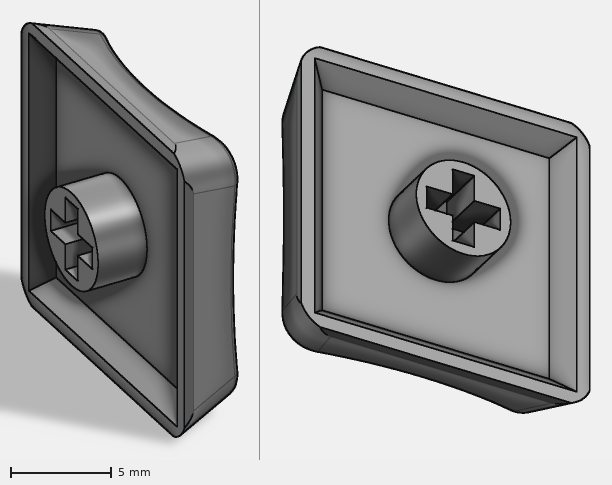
import cadquery as cq
import math

cap_width = 16.5
blank_height = 4.7
skirt_height = 0.5
wall_taper = 15.5
corner_radius = 2.0
top_edge_radius = 0.5

dish_bottom = 1.95
dish_radius_x = 17.5
dish_radius_z = 50.0
dish_overhang = 1.0

pocket_open_width = 15.0
pocket_floor_width = 13.0
pocket_depth = 1.0

stem_diameter = 5.4
stem_length = 1.8
cross_span = 4.2
cross_slot_width = 1.25
cross_depth = stem_length + pocket_depth


def plane_at(y):
    """Workplane normal to +Y at height y."""
    return cq.Workplane("XZ", origin=(0, y, 0)).transformed(rotate=(180, 0, 0))


def tapered_body():
    """Square frustum with rounded corners, its foot trimmed to a straight skirt."""
    foot_width = cap_width + 2 * skirt_height * math.tan(math.radians(wall_taper))
    frustum = plane_at(0).rect(foot_width, foot_width).extrude(blank_height, taper=wall_taper)
    frustum = frustum.edges("not(#Y or |X or |Z)").fillet(corner_radius)
    skirt_limit = plane_at(0).rect(cap_width, cap_width).extrude(blank_height)
    return frustum.intersect(skirt_limit)


def dish_cutter():
    """Arc in the XY plane swung about an axis parallel to X above the cap."""
    half_span = cap_width / 2 + dish_overhang
    arc_rise = dish_radius_x - math.sqrt(dish_radius_x**2 - half_span**2)
    axis_height = dish_bottom + dish_radius_z
    segment = (
        cq.Workplane("XY")
        .moveTo(-half_span, dish_bottom + arc_rise)
        .threePointArc((0, dish_bottom), (half_span, dish_bottom + arc_rise))
        .lineTo(half_span, axis_height)
        .lineTo(-half_span, axis_height)
        .close()
    )
    return segment.revolve(360, (0, axis_height, 0), (1, axis_height, 0))


def dished_cap():
    """Cap with the dish cut and the rim of the dish rounded."""
    cap = tapered_body().cut(dish_cutter())
    return cap.faces(">Y").edges().fillet(top_edge_radius)


def pocket():
    """Square recess in the underside, narrowing towards its floor."""
    wall_run = (pocket_open_width - pocket_floor_width) / 2
    pocket_taper = math.degrees(math.atan2(wall_run, pocket_depth))
    return plane_at(0).rect(pocket_open_width, pocket_open_width).extrude(pocket_depth, taper=pocket_taper)


def stem():
    """Round stem standing on the pocket floor."""
    return plane_at(-stem_length).circle(stem_diameter / 2).extrude(stem_length + pocket_depth)


def cross_socket():
    """Two crossed slots that open at the free end of the stem."""
    foot = plane_at(-stem_length)
    bar_x = foot.rect(cross_span, cross_slot_width).extrude(cross_depth)
    bar_z = foot.rect(cross_slot_width, cross_span).extrude(cross_depth)
    return bar_x.union(bar_z)


result = dished_cap().cut(pocket()).union(stem()).cut(cross_socket())